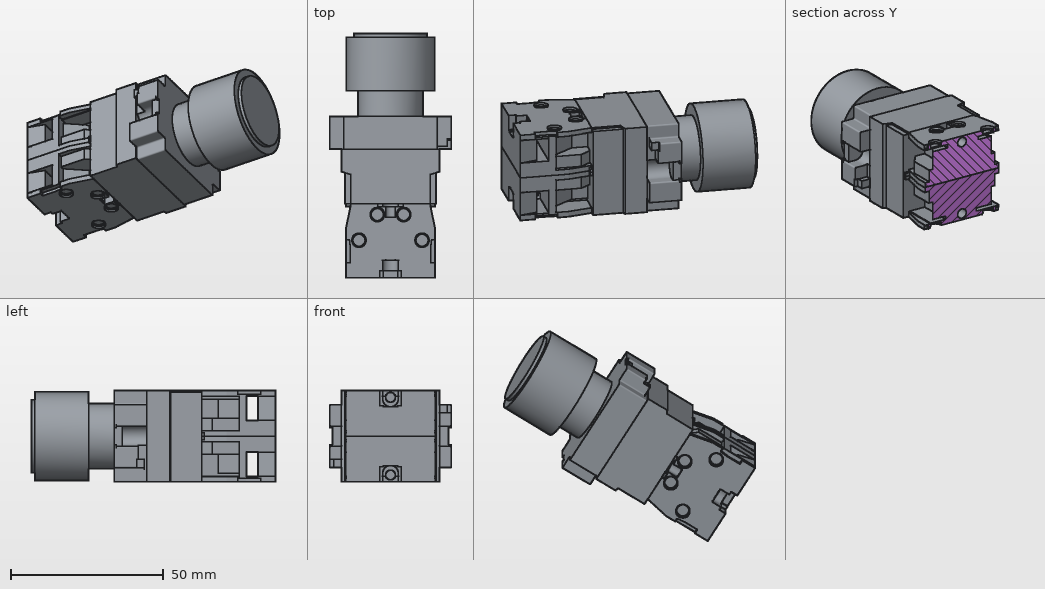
import cadquery as cq
import math


FRONT_Y = 40.05
REAR_Y = -40.05
CAP_FRONT_Y = 38.85
CAP_REAR_Y = 21.2
COLLAR_FRONT_Y = 12.9
ADAPTER_FRONT_Y = 2.2
CONTACT_FRONT_Y = -15.8
HEIGHT = 30.0
TOP_Z = HEIGHT / 2

BUTTON_RADIUS = 12.0
CAP_RADIUS = 14.6
NECK_RADIUS = 10.7

COLLAR_BODY_WIDTH = 30.6
COLLAR_WIDTH = 40.0
LUG_HEIGHT = 20.7
COLLAR_FILLET = 0.5
LUG_RECESS_X = 19.1
RIDGE_GAP = 5.5
RIDGE_LENGTH = 0.7
SLOT_RADIUS = 3.3
SLOT_CENTER_X = 16.7
SLOT_FRONT_Y = 10.2
LUG_END_Y = 5.05
TAB_OUTER_X = 18.7
TAB_END_Y = 3.05
TAB_TOP_Z = -7.6
TAB_GAP = 0.5

ADAPTER_HALF_WIDTH = 16.1
ADAPTER_REAR_HALF_WIDTH = 15.0
ADAPTER_SHOULDER_Y = -5.3
ADAPTER_STEP_Y = -5.6
ADAPTER_LEDGE_HALF_WIDTH = 13.0
ADAPTER_LEDGE_Y = -6.2
LEDGE_DEPTH = 0.6

CONTACT_HALF_WIDTH = 14.65
CONTACT_FRONT_HALF_WIDTH = 13.0
TAPER_END_Y = -23.95
KEY_HALF_HEIGHT = 1.1
KEY_LENGTH = 0.9

POCKET_END_Y = -28.1
POCKET_BOTTOM_Z = 1.8
POCKET_TOP_Z = 13.1
POCKET_FLOOR_X = 6.6
CAM_TOP_Z = 5.9
CAM_OUTER_X = 13.05
CAM_CORNER_Y = -19.2
CAM_ANGLE = 39.0
WEDGE_TOP_Z = 12.2
WEDGE_START_Y = -21.15
WEDGE_ANGLE = 37.0
RELIEF_DEPTH = 0.8
LIP_DEPTH = 0.25
LIP_WIDTH = 2.2

WINDOW_FRONT_Y = -30.5
WINDOW_REAR_Y = -34.2
WINDOW_BOTTOM_Z = 5.2
WINDOW_FLARE = 1.5

EDGE_RECESS_FRONT_Y = -27.55
EDGE_RECESS_KINK_Y = -30.3
EDGE_RECESS_REAR_Y = -35.1
EDGE_RECESS_FRONT_X = 13.45
EDGE_RECESS_REAR_X = 13.1
EDGE_RECESS_DEPTH = 1.2

NOTCH_RADIUS = 2.6
NOTCH_CENTER_Z = 12.2
NOTCH_MOUTH_WIDTH = 7.2
NOTCH_MOUTH_LENGTH = 2.4
NOTCH_MOUTH_FLOOR_Z = 10.0
NOTCH_STEP_WIDTH = 4.8
SCREW_RADIUS = 1.6
SCREW_Z = 12.7
SCREW_SLOT_END_Y = -20.1
FRONT_RECESS_WIDTH = 8.5
FRONT_RECESS_LENGTH = 0.9

DIMPLE_RADIUS = 2.0
DIMPLE_RIM_RADIUS = 2.3
DIMPLE_RIM_DEPTH = 0.65
DIMPLE_DEPTH = 1.3
DIMPLE_PLACES = [(-4.3, -19.3), (4.3, -19.3), (-10.3, -27.7), (10.3, -27.7)]


def block(x_range, y_range, z_range):
    """Box between the given limits."""
    lows, highs = zip(*(sorted(limits) for limits in (x_range, y_range, z_range)))
    size = [high - low for low, high in zip(lows, highs)]
    return cq.Workplane("XY").box(*size, centered=False).translate(lows)


def cylinder(radius, y_range, z=0.0):
    """Cylinder along Y, centred on X = 0."""
    low, high = sorted(y_range)
    return cq.Workplane("XZ", origin=(0, low, z)).circle(radius).extrude(low - high)


def prism(points, z_range):
    """Plan outline raised between two Z levels."""
    low, high = sorted(z_range)
    return cq.Workplane("XY", origin=(0, 0, low)).polyline(points).close().extrude(high - low)


def mirrored_outline(points):
    """Closed outline from its +X half, listed from front to rear."""
    return points + [(-x, y) for x, y in reversed(points)]


def half_turn(shape):
    """Copy turned by 180 degrees about the Y axis."""
    return shape.rotate((0, 0, 0), (0, 1, 0), 180)


def make_operator():
    button = cylinder(BUTTON_RADIUS, (CAP_FRONT_Y, FRONT_Y))
    cap = cylinder(CAP_RADIUS, (CAP_REAR_Y, CAP_FRONT_Y))
    neck = cylinder(NECK_RADIUS, (COLLAR_FRONT_Y, CAP_REAR_Y))
    return neck.union(cap).union(button)


def collar_slot():
    """Cutter for the slot in the -X lug: ridge gap, shallow part and round-bottomed part."""
    ridge_rear_y = COLLAR_FRONT_Y - RIDGE_LENGTH
    outer_x = -COLLAR_WIDTH / 2
    slot_z = (-SLOT_RADIUS, SLOT_RADIUS)
    ridge_gap_z = (-RIDGE_GAP / 2, RIDGE_GAP / 2)
    ridge_gap = block((outer_x, -LUG_RECESS_X), (ridge_rear_y, COLLAR_FRONT_Y), ridge_gap_z)
    shallow = block((outer_x, -LUG_RECESS_X), (SLOT_FRONT_Y, ridge_rear_y), slot_z)
    deep = block((outer_x, -SLOT_CENTER_X), (ADAPTER_FRONT_Y, SLOT_FRONT_Y), slot_z)
    bottom = cylinder(SLOT_RADIUS, (ADAPTER_FRONT_Y, SLOT_FRONT_Y)).translate((-SLOT_CENTER_X, 0, 0))
    return ridge_gap.union(shallow).union(deep.union(bottom))


def lug_end_cut():
    """Cutter that shortens the lower half of the -X lug and leaves a small tab."""
    body_x = -COLLAR_BODY_WIDTH / 2
    outer_x = -COLLAR_WIDTH / 2
    bottom_z = -LUG_HEIGHT / 2 - COLLAR_FILLET
    behind_lug = block((outer_x, body_x), (ADAPTER_FRONT_Y, LUG_END_Y), (bottom_z, 0))
    tab = block((-TAB_OUTER_X, body_x), (TAB_END_Y, LUG_END_Y), (bottom_z, TAB_TOP_Z))
    gap = block((outer_x, -TAB_OUTER_X), (LUG_END_Y, LUG_END_Y + TAB_GAP), (bottom_z, TAB_TOP_Z))
    return behind_lug.cut(tab).union(gap)


def make_collar():
    half_body = COLLAR_BODY_WIDTH / 2
    half_width = COLLAR_WIDTH / 2
    half_lug = LUG_HEIGHT / 2
    margin = 0.8
    y_range = (ADAPTER_FRONT_Y, COLLAR_FRONT_Y)
    collar = block((-half_body, half_body), y_range, (-TOP_Z, TOP_Z))
    collar = collar.union(block((-half_width, half_width), y_range, (-half_lug, half_lug)))
    collar = collar.edges("|Y").fillet(COLLAR_FILLET)
    collar = collar.cut(collar_slot()).cut(half_turn(collar_slot()))

    slot_mouth = cq.selectors.BoxSelector(
        (-half_width - margin, ADAPTER_FRONT_Y, -LUG_HEIGHT / 4),
        (half_width + margin, COLLAR_FRONT_Y - RIDGE_LENGTH, LUG_HEIGHT / 4),
    )
    collar = collar.faces("<X or >X").edges("|Y").edges(slot_mouth).fillet(COLLAR_FILLET)
    return collar.cut(lug_end_cut()).cut(half_turn(lug_end_cut()))


def make_adapter():
    outline = mirrored_outline([
        (ADAPTER_HALF_WIDTH, ADAPTER_FRONT_Y),
        (ADAPTER_HALF_WIDTH, ADAPTER_SHOULDER_Y),
        (ADAPTER_REAR_HALF_WIDTH, ADAPTER_STEP_Y),
        (ADAPTER_REAR_HALF_WIDTH, CONTACT_FRONT_Y),
    ])
    adapter = prism(outline, (-TOP_Z, TOP_Z))
    for side in (-1, 1):
        ledge = [
            (side * ADAPTER_REAR_HALF_WIDTH, ADAPTER_STEP_Y),
            (side * ADAPTER_LEDGE_HALF_WIDTH, ADAPTER_LEDGE_Y),
            (side * ADAPTER_LEDGE_HALF_WIDTH, CONTACT_FRONT_Y),
            (side * ADAPTER_REAR_HALF_WIDTH, CONTACT_FRONT_Y),
        ]
        adapter = adapter.cut(prism(ledge, (TOP_Z - LEDGE_DEPTH, TOP_Z)))
    return adapter


def contact_body():
    outline = mirrored_outline([
        (CONTACT_FRONT_HALF_WIDTH, CONTACT_FRONT_Y),
        (CONTACT_HALF_WIDTH, TAPER_END_Y),
        (CONTACT_HALF_WIDTH, REAR_Y),
    ])
    keys = block(
        (-CONTACT_HALF_WIDTH, CONTACT_HALF_WIDTH),
        (CONTACT_FRONT_Y - KEY_LENGTH, CONTACT_FRONT_Y),
        (0, KEY_HALF_HEIGHT),
    )
    return prism(outline, (0, TOP_Z)).union(keys)


def side_pocket(side):
    """Cutter for one side pocket, leaving a low cam and a taller wedge inside it."""
    outer_x = side * CONTACT_HALF_WIDTH
    floor_x = side * POCKET_FLOOR_X
    cam_slope = (CONTACT_FRONT_Y - CAM_CORNER_Y) * math.tan(math.radians(CAM_ANGLE))
    wedge_slope = (WEDGE_START_Y - POCKET_END_Y) * math.tan(math.radians(WEDGE_ANGLE))
    cam_space = [
        (outer_x, CONTACT_FRONT_Y),
        (side * (CAM_OUTER_X - cam_slope), CONTACT_FRONT_Y),
        (side * CAM_OUTER_X, CAM_CORNER_Y),
        (side * CAM_OUTER_X, POCKET_END_Y),
        (outer_x, POCKET_END_Y),
    ]
    wedge_space = [
        (outer_x, CONTACT_FRONT_Y),
        (floor_x, CONTACT_FRONT_Y),
        (floor_x, WEDGE_START_Y),
        (floor_x + side * wedge_slope, POCKET_END_Y),
        (outer_x, POCKET_END_Y),
    ]
    y_range = (POCKET_END_Y, CONTACT_FRONT_Y)
    pocket = prism(cam_space, (POCKET_BOTTOM_Z, CAM_TOP_Z))
    pocket = pocket.union(prism(wedge_space, (CAM_TOP_Z, WEDGE_TOP_Z)))
    if side < 0:
        top_x = floor_x - side * RELIEF_DEPTH
        return pocket.union(block((top_x, outer_x), y_range, (WEDGE_TOP_Z, POCKET_TOP_Z)))
    lip_x = outer_x - side * LIP_WIDTH
    pocket = pocket.union(block((floor_x, outer_x), y_range, (WEDGE_TOP_Z, POCKET_TOP_Z)))
    return pocket.union(block((lip_x, outer_x), y_range, (WEDGE_TOP_Z, POCKET_TOP_Z + LIP_DEPTH)))


def cross_window():
    """Cutter for the opening through the block, flared towards the rear on both sides."""
    throat_x = CONTACT_HALF_WIDTH - WINDOW_FLARE
    outline = mirrored_outline([
        (CONTACT_HALF_WIDTH, WINDOW_FRONT_Y),
        (CONTACT_HALF_WIDTH, REAR_Y),
        (throat_x, WINDOW_REAR_Y),
    ])
    return prism(outline, (WINDOW_BOTTOM_Z, POCKET_TOP_Z))


def edge_recess(side):
    outline = [
        (side * CONTACT_HALF_WIDTH, EDGE_RECESS_FRONT_Y),
        (side * EDGE_RECESS_FRONT_X, EDGE_RECESS_FRONT_Y),
        (side * EDGE_RECESS_REAR_X, EDGE_RECESS_KINK_Y),
        (side * EDGE_RECESS_REAR_X, EDGE_RECESS_REAR_Y),
        (side * CONTACT_HALF_WIDTH, EDGE_RECESS_REAR_Y),
    ]
    return prism(outline, (TOP_Z - EDGE_RECESS_DEPTH, TOP_Z))


def open_slot(radius, center_z, y_range):
    """Cutter for a round-bottomed slot along Y, open at the top face."""
    return cylinder(radius, y_range, center_z).union(block((-radius, radius), y_range, (center_z, TOP_Z)))


def screw_channel():
    """Cutter for the rear notch, the screw hole and the recess at the front."""
    half_mouth = NOTCH_MOUTH_WIDTH / 2
    half_step = NOTCH_STEP_WIDTH / 2
    half_recess = FRONT_RECESS_WIDTH / 2
    mouth_y = (REAR_Y, REAR_Y + NOTCH_MOUTH_LENGTH)
    recess_y = (CONTACT_FRONT_Y - FRONT_RECESS_LENGTH, CONTACT_FRONT_Y)
    notch_floor_z = NOTCH_CENTER_Z - NOTCH_RADIUS

    channel = open_slot(NOTCH_RADIUS, NOTCH_CENTER_Z, (REAR_Y, WINDOW_REAR_Y))
    channel = channel.union(block((-half_mouth, half_mouth), mouth_y, (NOTCH_MOUTH_FLOOR_Z, TOP_Z)))
    channel = channel.union(block((-half_step, half_step), mouth_y, (notch_floor_z, TOP_Z)))
    channel = channel.union(cylinder(SCREW_RADIUS, (WINDOW_REAR_Y, CONTACT_FRONT_Y), SCREW_Z))
    channel = channel.union(open_slot(SCREW_RADIUS, SCREW_Z, (SCREW_SLOT_END_Y, CONTACT_FRONT_Y)))
    channel = channel.union(open_slot(NOTCH_RADIUS, NOTCH_CENTER_Z, recess_y))
    return channel.union(block((-half_recess, half_recess), recess_y, (TOP_Z - LEDGE_DEPTH, TOP_Z)))


def dimples():
    """Cutter for the countersunk blind holes in the top face."""
    profile = [
        (0, TOP_Z),
        (DIMPLE_RIM_RADIUS, TOP_Z),
        (DIMPLE_RADIUS, TOP_Z - DIMPLE_RIM_DEPTH),
        (DIMPLE_RADIUS, TOP_Z - DIMPLE_DEPTH),
        (0, TOP_Z - DIMPLE_DEPTH),
    ]
    dimple = cq.Workplane("XZ").polyline(profile).close().revolve(360, (0, 0, 0), (0, 1, 0)).val()
    return cq.Workplane("XY").pushPoints(DIMPLE_PLACES).eachpoint(lambda place: dimple.moved(place))


def make_contact_block():
    contact = contact_body()
    for side in (-1, 1):
        contact = contact.cut(side_pocket(side)).cut(edge_recess(side))
    return contact.cut(cross_window()).cut(screw_channel()).cut(dimples())


operator = make_operator()
collar = make_collar()
adapter = make_adapter()

contact_blocks = []
for stack_angle in (0, 180):
    contact_blocks.append(make_contact_block().rotate((0, 0, 0), (0, 1, 0), stack_angle))

result = cq.Compound.makeCompound([
    operator.val(),
    collar.val(),
    adapter.val(),
    *[contact.val() for contact in contact_blocks],
])